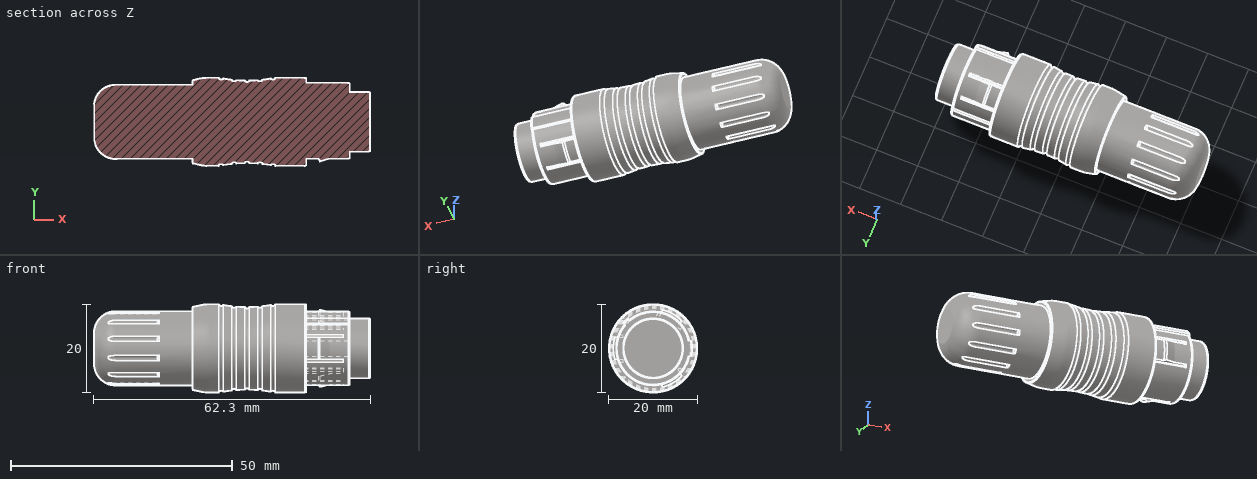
import cadquery as cq
import math

LENGTH = 62.25
BEVEL_LENGTH = 0.4
BEVEL_DEPTH = 0.2
OVERLAP = 0.6

CAP_R = 8.4
DOME_LENGTH = 4.9
DOME_FLAT_R = 4.05
FLUTE_COUNT = 12
FLUTE_D = 1.5
FLUTE_FLOOR_R = 8.1
FLUTE_END_X = 14.7
FLUTE_RUNOUT = 0.45

GRIP_START_X = 22.15
GRIP_START_R = 9.4
RIM_BEVEL_LENGTH = 0.1
RIM_BEVEL_DEPTH = 0.25
GRIP_R = 20.0 / 2
BULGE_END_X = 25.9
WAIST_START_X = 28.15
WAIST_END_X = 40.85
WAIST_R = 9.35
GRIP_END_X = 47.9
RING_COUNT = 5
RING_WIDTH = 1.05
RING_DEPTH = 0.3

PLUG_R = 8.35
PLUG_END_X = 57.65
NOSE_R = 13.6 / 2

KEYS = [(0, 3.5), (135, 1.5)]
KEY_R = 8.85

LATCH_ANGLES = [60, 180, 300]
LATCH_HALF_WIDTH = 2.5
SLOT_WIDTH = 0.6
SLOT_DEPTH = 0.95
SLOT_END_X = 56.15
RAMP_START_X = 50.55
RAMP_CREST_X = 50.9
RAMP_END_X = 53.1
RAMP_R = 8.95

bulge_start_x = GRIP_START_X + RIM_BEVEL_LENGTH
waist_mid_x = (WAIST_START_X + WAIST_END_X) / 2


def arc_radius(run, rise):
    """Radius of an arc that ends parallel to the axis after the given run and rise."""
    return (run**2 + rise**2) / (2 * rise)


def arc_middle(start_x, end_x, start_r, end_r):
    """Point midway along an arc that is parallel to the axis at its end."""
    run = end_x - start_x
    rise = end_r - start_r
    radius = arc_radius(run, rise)
    half_angle = math.atan2(rise, run)
    return (end_x - radius * math.sin(half_angle), end_r - radius * (1 - math.cos(half_angle)))


def about_axis(shape, angle):
    return shape.rotate((0, 0, 0), (1, 0, 0), angle)


def revolve_profile(profile):
    return profile.close().revolve(360, (0, 0, 0), (1, 0, 0))


def make_body():
    profile = (
        cq.Workplane("XY")
        .lineTo(0, DOME_FLAT_R)
        .threePointArc(arc_middle(0, DOME_LENGTH, DOME_FLAT_R, CAP_R), (DOME_LENGTH, CAP_R))
        .lineTo(GRIP_START_X, CAP_R)
        .lineTo(GRIP_START_X, GRIP_START_R - RIM_BEVEL_DEPTH)
        .lineTo(bulge_start_x, GRIP_START_R)
        .threePointArc(
            arc_middle(bulge_start_x, BULGE_END_X, GRIP_START_R, GRIP_R), (BULGE_END_X, GRIP_R)
        )
        .lineTo(WAIST_START_X, GRIP_R)
        .threePointArc((waist_mid_x, WAIST_R), (WAIST_END_X, GRIP_R))
        .lineTo(GRIP_END_X - BEVEL_LENGTH, GRIP_R)
        .lineTo(GRIP_END_X, GRIP_R - BEVEL_DEPTH)
        .lineTo(GRIP_END_X, PLUG_R)
        .lineTo(PLUG_END_X - BEVEL_LENGTH, PLUG_R)
        .lineTo(PLUG_END_X, PLUG_R - BEVEL_DEPTH)
        .lineTo(PLUG_END_X, NOSE_R)
        .lineTo(LENGTH - BEVEL_LENGTH, NOSE_R)
        .lineTo(LENGTH, NOSE_R - BEVEL_DEPTH)
        .lineTo(LENGTH, 0)
    )
    return revolve_profile(profile)


def make_ring_groove(index):
    """Round-bottomed groove around the waist; the end grooves touch the waist's ends."""
    pitch = (WAIST_END_X - WAIST_START_X - RING_WIDTH) / (RING_COUNT - 1)
    x = WAIST_START_X + RING_WIDTH / 2 + index * pitch
    waist_arc_r = arc_radius((WAIST_END_X - WAIST_START_X) / 2, GRIP_R - WAIST_R)
    surface_r = WAIST_R + waist_arc_r - math.sqrt(waist_arc_r**2 - (x - waist_mid_x) ** 2)
    section_r = arc_radius(RING_WIDTH / 2, RING_DEPTH)
    section_centre_r = surface_r - RING_DEPTH + section_r
    section = cq.Workplane("XY").moveTo(x, section_centre_r).circle(section_r)
    return section.revolve(360, (0, 0, 0), (1, 0, 0))


def make_flute():
    """Round-bottomed flute along the top of the cap, ending in a sloped wall."""
    flute_r = FLUTE_D / 2
    rod = (
        cq.Workplane("YZ")
        .center(0, FLUTE_FLOOR_R + flute_r)
        .circle(flute_r)
        .extrude(FLUTE_END_X + FLUTE_RUNOUT)
    )
    end_slope = FLUTE_RUNOUT / (CAP_R - FLUTE_FLOOR_R)
    top = FLUTE_FLOOR_R + FLUTE_D
    side = (
        cq.Workplane("XZ")
        .moveTo(0, FLUTE_FLOOR_R)
        .lineTo(FLUTE_END_X - FLUTE_RUNOUT, FLUTE_FLOOR_R)
        .lineTo(FLUTE_END_X - FLUTE_RUNOUT + end_slope * FLUTE_D, top)
        .lineTo(0, top)
        .close()
        .extrude(flute_r, both=True)
    )
    return rod.intersect(side)


def plug_strip(start_x, end_x, inner_r, outer_r, near_side, far_side):
    """Straight strip along the +Y side of the plug, between two Z levels."""
    size = (end_x - start_x, outer_r - inner_r, far_side - near_side)
    return cq.Workplane("XY").box(*size, centered=False).translate((start_x, inner_r, near_side))


def make_key(width):
    """Straight-sided key with a round top, bevelled at the nose end like the plug."""
    start_x = GRIP_END_X - OVERLAP
    envelope = (
        cq.Workplane("XY")
        .moveTo(start_x, 0)
        .lineTo(start_x, KEY_R)
        .lineTo(PLUG_END_X - BEVEL_LENGTH, KEY_R)
        .lineTo(PLUG_END_X, KEY_R - BEVEL_DEPTH)
        .lineTo(PLUG_END_X, 0)
    )
    strip = plug_strip(start_x, PLUG_END_X, NOSE_R, KEY_R, -width / 2, width / 2)
    return revolve_profile(envelope).intersect(strip)


def make_latch_ramp():
    """Raised catch with a steep back and a long slope toward the nose."""
    base_r = PLUG_R - OVERLAP
    profile = (
        cq.Workplane("XY")
        .moveTo(RAMP_START_X, base_r)
        .lineTo(RAMP_START_X, PLUG_R)
        .lineTo(RAMP_CREST_X, RAMP_R)
        .lineTo(RAMP_END_X, PLUG_R)
        .lineTo(RAMP_END_X, base_r)
    )
    strip = plug_strip(
        RAMP_START_X, RAMP_END_X, 0, RAMP_R + OVERLAP, -LATCH_HALF_WIDTH, LATCH_HALF_WIDTH
    )
    return revolve_profile(profile).intersect(strip)


def make_latch_slot(near_side):
    far_side = near_side + SLOT_WIDTH
    wall_r = math.sqrt(PLUG_R**2 - (LATCH_HALF_WIDTH + SLOT_WIDTH) ** 2)
    return plug_strip(GRIP_END_X, SLOT_END_X, wall_r - SLOT_DEPTH, PLUG_R, near_side, far_side)


result = make_body()

for key_angle, key_width in KEYS:
    result = result.union(about_axis(make_key(key_width), key_angle))

for latch_angle in LATCH_ANGLES:
    result = result.union(about_axis(make_latch_ramp(), latch_angle))
    for near_side in (LATCH_HALF_WIDTH, -LATCH_HALF_WIDTH - SLOT_WIDTH):
        result = result.cut(about_axis(make_latch_slot(near_side), latch_angle))

for ring in range(RING_COUNT):
    result = result.cut(make_ring_groove(ring))

flute_pitch = 360 / FLUTE_COUNT
for flute in range(FLUTE_COUNT):
    result = result.cut(about_axis(make_flute(), (flute + 0.5) * flute_pitch))